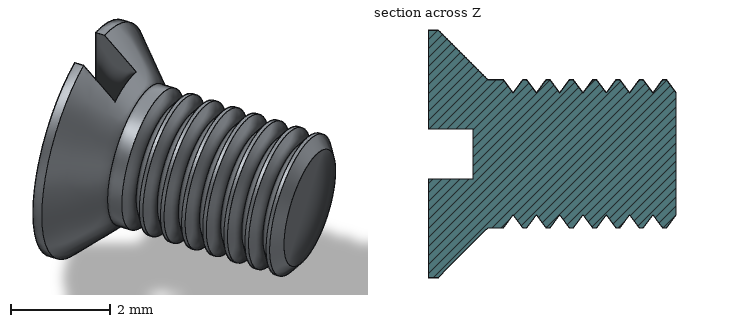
import cadquery as cq

total_length = 5.0

head_radius = 2.5
rim_width = 0.2
slot_width = 1.0
slot_depth = 0.9

shank_radius = 1.5
thread_depth = 0.265
thread_pitch = 0.47
crest_width = 0.08
groove_count = 7

head_length = rim_width + head_radius - shank_radius
root_radius = shank_radius - thread_depth
flank_width = (thread_pitch - crest_width) / 2
first_root = total_length - groove_count * thread_pitch


def screw_profile():
    """Half section of the screw, with X along the axis and Y as the radius."""
    points = [
        (0, 0),
        (0, head_radius),
        (rim_width, head_radius),
        (head_length, shank_radius),
        (first_root - flank_width, shank_radius),
    ]
    for index in range(groove_count):
        root = first_root + index * thread_pitch
        crest_start = root + flank_width
        points += [
            (root, root_radius),
            (crest_start, shank_radius),
            (crest_start + crest_width, shank_radius),
        ]
    points += [(total_length, root_radius), (total_length, 0)]
    return cq.Workplane("XY").polyline(points).close()


def driver_slot():
    """Straight slot along Z, right across the head face."""
    return cq.Workplane("XY").box(
        slot_depth, slot_width, 2 * head_radius, centered=(False, True, True)
    )


screw = screw_profile().revolve(360, (0, 0, 0), (1, 0, 0))
result = screw.cut(driver_slot())